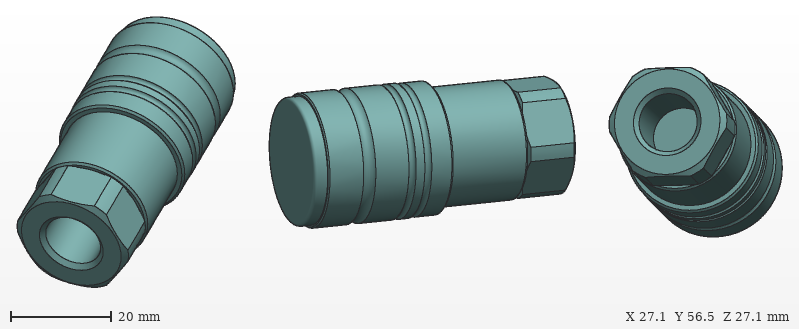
import cadquery as cq
import math

length = 56.5

sleeve_radius = 13.55
collar_radius = 13.45
collar_start = 26.95
collar_chamfer = 0.45
narrow_groove_width = 1.5
narrow_groove_depth = 0.55
lower_groove_start = 31.7
middle_groove_start = 35.1
wide_groove_start = 43.7
wide_groove_width = 2.6
wide_groove_depth = 0.6
sleeve_end = 53.75
sleeve_end_chamfer = 0.3

rim_radius = 12.95
rim_fillet = 0.7

body_radius = 12.05
body_start = 10.5
body_chamfer = 0.45

hex_corner_radius = 11.9
hex_across_flats = 22.0
front_face_radius = 10.7
front_chamfer_length = 0.8
rear_face_radius = 10.95
rear_chamfer_length = 0.55

bore_radius = 5.9
bore_mouth_radius = 6.85
bore_mouth_depth = 1.0
bore_depth = 16.95


def groove(profile, start_radius, end_radius, width, depth, start):
    """Add a concave arc running along the axis between two radii."""
    floor_radius = sleeve_radius - depth
    return (
        profile.lineTo(start_radius, start)
        .threePointArc((floor_radius, start + width / 2), (end_radius, start + width))
    )


def make_sleeve_and_body():
    profile = (
        cq.Workplane("XY")
        .moveTo(0, body_start)
        .lineTo(body_radius - body_chamfer, body_start)
        .lineTo(body_radius, body_start + body_chamfer)
        .lineTo(body_radius, collar_start)
        .lineTo(collar_radius - collar_chamfer, collar_start)
        .lineTo(collar_radius, collar_start + collar_chamfer)
    )
    profile = groove(profile, collar_radius, sleeve_radius,
                     narrow_groove_width, narrow_groove_depth, lower_groove_start)
    profile = groove(profile, sleeve_radius, sleeve_radius,
                     narrow_groove_width, narrow_groove_depth, middle_groove_start)
    profile = groove(profile, sleeve_radius, sleeve_radius,
                     wide_groove_width, wide_groove_depth, wide_groove_start)
    profile = (
        profile.lineTo(sleeve_radius, sleeve_end - sleeve_end_chamfer)
        .lineTo(sleeve_radius - sleeve_end_chamfer, sleeve_end)
        .lineTo(rim_radius, sleeve_end)
        .lineTo(rim_radius, length - rim_fillet)
        .radiusArc((rim_radius - rim_fillet, length), -rim_fillet)
        .lineTo(0, length)
        .close()
    )
    return profile.revolve(360, (0, 0, 0), (0, 1, 0))


def make_hexagon():
    """Intersect a hexagonal prism, flats facing +Z and -Z, with a double-coned cylinder."""
    prism = (
        cq.Workplane("XZ")
        .polygon(6, hex_across_flats / math.cos(math.pi / 6))
        .extrude(-body_start)
    )
    envelope = (
        cq.Workplane("XY")
        .moveTo(0, 0)
        .lineTo(front_face_radius, 0)
        .lineTo(hex_corner_radius, front_chamfer_length)
        .lineTo(hex_corner_radius, body_start - rear_chamfer_length)
        .lineTo(rear_face_radius, body_start)
        .lineTo(0, body_start)
        .close()
        .revolve(360, (0, 0, 0), (0, 1, 0))
    )
    return prism.intersect(envelope)


def make_bore():
    return (
        cq.Workplane("XY")
        .moveTo(0, 0)
        .lineTo(bore_mouth_radius, 0)
        .lineTo(bore_radius, bore_mouth_depth)
        .lineTo(bore_radius, bore_depth)
        .lineTo(0, bore_depth)
        .close()
        .revolve(360, (0, 0, 0), (0, 1, 0))
    )


result = make_sleeve_and_body().union(make_hexagon()).cut(make_bore())